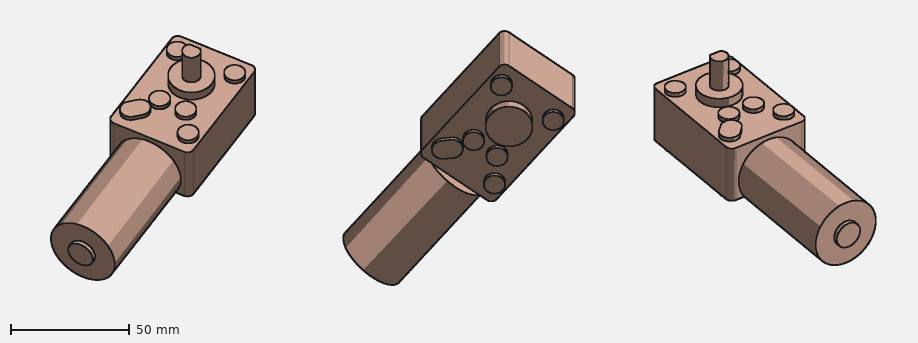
import cadquery as cq

housing_width = 40.0
housing_length = 58.2
housing_top = 17.9
housing_height = 27
corner_radius = 2.9
housing_bottom = housing_top - housing_height

total_length = 117.2
motor_diameter = 31.0
motor_boss_diameter = 12.0
motor_boss_length = 2.0
motor_length = total_length - housing_length - motor_boss_length

total_height = 53.0
shaft_diameter = 8.0
shaft_inset = 21.6
shaft_y = housing_length - shaft_inset
shaft_top = total_height - motor_diameter / 2
collar_diameter = 19.8
collar_height = 4.5
flat_depth = 1.0
flat_start_gap = 2.1
flat_start = housing_top + collar_height + flat_start_gap

pad_diameter = 9.0
pad_height = 2.0
corner_pad_x = 14.0
corner_pad_inset = 9.0
middle_pad_x = 6.3
middle_pad_inset = 37.7
middle_pad_y = housing_length - middle_pad_inset
slot_shift = 2.9
long_pad_angle = 45


def cylinder_up(x, y, base, diameter, height):
    """Vertical cylinder standing on height level base."""
    return cq.Workplane("XY", origin=(x, y, base)).circle(diameter / 2).extrude(height)


def long_pad(base, side):
    """Diagonal rounded pad in the front corner on the given X side."""
    spacing = slot_shift * 2**0.5
    center_x = side * (corner_pad_x - slot_shift / 2)
    center_y = corner_pad_inset + slot_shift / 2
    return (
        cq.Workplane("XY", origin=(center_x, center_y, base))
        .slot2D(spacing + pad_diameter, pad_diameter, -side * long_pad_angle)
        .extrude(pad_height)
    )


def face_features(face_z, direction, long_pad_side):
    """Collar and pads of one face; direction is 1 for the top and -1 for the bottom."""
    collar_base = face_z if direction > 0 else face_z - collar_height
    pad_base = face_z if direction > 0 else face_z - pad_height
    back_y = housing_length - corner_pad_inset
    pad_centers = [
        (-corner_pad_x, back_y),
        (corner_pad_x, back_y),
        (-middle_pad_x, middle_pad_y),
        (middle_pad_x, middle_pad_y),
        (-long_pad_side * corner_pad_x, corner_pad_inset),
    ]
    features = cylinder_up(0, shaft_y, collar_base, collar_diameter, collar_height)
    for x, y in pad_centers:
        features = features.union(cylinder_up(x, y, pad_base, pad_diameter, pad_height))
    return features.union(long_pad(pad_base, long_pad_side))


def output_shaft():
    """Shaft rising from the housing top, with a flat on its +Y side."""
    shaft = cylinder_up(0, shaft_y, housing_top, shaft_diameter, shaft_top - housing_top)
    flat_y = shaft_y + shaft_diameter / 2 - flat_depth
    flat_cut = cq.Workplane("XY").box(
        shaft_diameter, shaft_diameter, shaft_top - flat_start, centered=(True, False, False)
    )
    return shaft.cut(flat_cut.translate((0, flat_y, flat_start)))


def motor():
    """Motor can along -Y with its rear boss."""
    can = cq.Workplane("XZ").circle(motor_diameter / 2).extrude(motor_length)
    boss = (
        cq.Workplane("XZ", origin=(0, -motor_length, 0))
        .circle(motor_boss_diameter / 2)
        .extrude(motor_boss_length)
    )
    return can.union(boss)


housing = (
    cq.Workplane("XY")
    .box(housing_width, housing_length, housing_height, centered=(True, False, False))
    .edges("|Z")
    .fillet(corner_radius)
    .translate((0, 0, housing_bottom))
)

result = (
    housing.union(face_features(housing_top, 1, -1))
    .union(face_features(housing_bottom, -1, 1))
    .union(output_shaft())
    .union(motor())
)